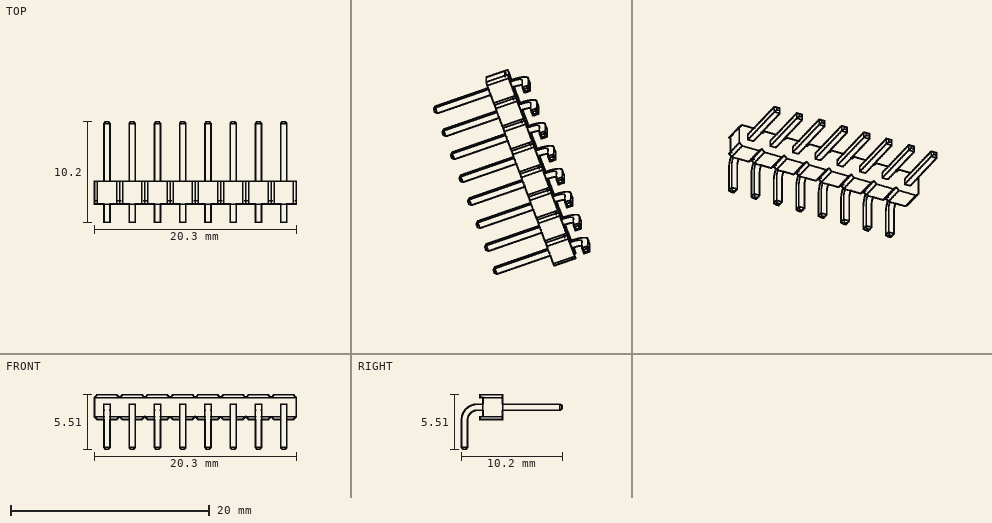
import cadquery as cq

pin_count = 8
row_length = 20.32
pitch = row_length / pin_count

housing_height = 2.52
housing_depth = 2.3
edge_chamfer = 0.3
recess_depth = 0.3

pin_width = 0.63
pin_reach = 6.0
leg_reach = 1.85
leg_drop = 4.25
bend_inner_radius = 1.0
tip_length = 0.22
tip_inset = 0.16

half_pin = pin_width / 2
tip_width = pin_width - 2 * tip_inset
bend_radius = bend_inner_radius + half_pin
leg_axis_y = half_pin - housing_depth - leg_reach
bend_start_y = leg_axis_y + bend_radius


def housing_cell(x_center):
    """One octagonal-ended block with its four long edges chamfered."""
    return (
        cq.Workplane("XY")
        .box(pitch, housing_depth, housing_height)
        .edges("|Y")
        .chamfer(edge_chamfer)
        .translate((x_center, -housing_depth / 2, 0))
    )


def front_recess():
    """Full-length channel between the upper and lower lips of the front face."""
    channel_height = housing_height - 2 * edge_chamfer
    channel = cq.Workplane("XY").box(row_length, recess_depth, channel_height)
    return channel.translate((0, recess_depth / 2 - housing_depth, 0))


def tapered_tip(base_plane):
    """Square frustum that narrows along the normal of the base plane."""
    return (
        cq.Workplane(base_plane)
        .rect(pin_width, pin_width)
        .workplane(offset=tip_length)
        .rect(tip_width, tip_width)
        .loft(ruled=True)
    )


def bent_pin(x_center):
    """Square wire running along Y, bent a quarter turn down, pointed at both ends."""
    straight_end_y = pin_reach - tip_length
    leg_end_z = tip_length - leg_drop
    path = (
        cq.Workplane("YZ")
        .moveTo(straight_end_y, 0)
        .lineTo(bend_start_y, 0)
        .radiusArc((leg_axis_y, -bend_radius), -bend_radius)
        .lineTo(leg_axis_y, leg_end_z)
    )
    straight_end = cq.Plane((0, straight_end_y, 0), xDir=(1, 0, 0), normal=(0, 1, 0))
    leg_end = cq.Plane((0, leg_axis_y, leg_end_z), xDir=(1, 0, 0), normal=(0, 0, -1))
    wire = cq.Workplane(straight_end).rect(pin_width, pin_width).sweep(path)
    pin = wire.union(tapered_tip(straight_end)).union(tapered_tip(leg_end))
    return pin.translate((x_center, 0, 0))


cell_centers = [(i - (pin_count - 1) / 2) * pitch for i in range(pin_count)]

housing = housing_cell(cell_centers[0])
for x in cell_centers[1:]:
    housing = housing.union(housing_cell(x))

result = housing.cut(front_recess())
for x in cell_centers:
    result = result.union(bent_pin(x))